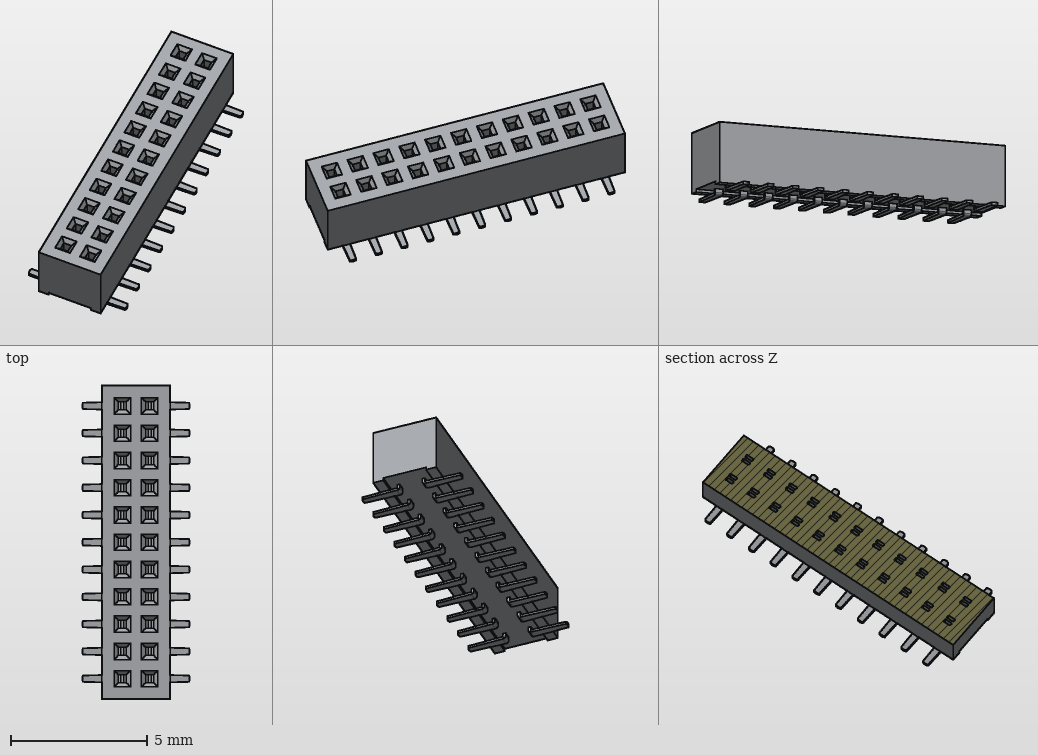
import cadquery as cq


ROW_COUNT = 11
PITCH = 1.0
COLUMN_X = PITCH / 2

LENGTH = 11.5
WIDTH = 2.51
TOP_Z = 2.4
RAIL_BOTTOM_Z = 0.14
RECESS_CEILING_Z = 0.24
RECESS_WIDTH = 1.7

MOUTH_SIZE = 0.6
BORE_SIZE = 0.3
FUNNEL_DEPTH = 0.15
BORE_FLOOR_Z = 0.69

LEAD_SPAN = 3.95
LEAD_THICKNESS = 0.1
LEAD_INNER_X = 0.45
BEND_OUTER_RADIUS = 0.12
LEAD_ROOT_WIDTH = 0.31
LEAD_TIP_WIDTH = 0.24
TIP_BULGE = 0.029
BLADE_TOP_Z = 1.72

LEAD_END_X = LEAD_SPAN / 2
ROW_Y = [(row - (ROW_COUNT - 1) / 2) * PITCH for row in range(ROW_COUNT)]
SOCKET_POINTS = [(side * COLUMN_X, y) for side in (-1, 1) for y in ROW_Y]


def make_housing():
    """Block with a recess along its underside, leaving a standoff rail on each side."""
    base = cq.Workplane("XY", origin=(0, 0, RAIL_BOTTOM_Z))
    block = base.rect(WIDTH, LENGTH).extrude(TOP_Z - RAIL_BOTTOM_Z)
    recess = base.rect(RECESS_WIDTH, LENGTH).extrude(RECESS_CEILING_Z - RAIL_BOTTOM_Z)
    return block.cut(recess)


def make_socket():
    """Cutter for one blind square bore with a pyramidal lead-in, centred on the Z axis."""
    funnel = (
        cq.Workplane("XY", origin=(0, 0, TOP_Z))
        .rect(MOUTH_SIZE, MOUTH_SIZE)
        .workplane(offset=-FUNNEL_DEPTH)
        .rect(BORE_SIZE, BORE_SIZE)
        .loft()
    )
    bore_top_z = TOP_Z - FUNNEL_DEPTH
    bore = (
        cq.Workplane("XY", origin=(0, 0, BORE_FLOOR_Z))
        .rect(BORE_SIZE, BORE_SIZE)
        .extrude(bore_top_z - BORE_FLOOR_Z)
    )
    return funnel.union(bore)


def make_lead():
    """L-shaped lead on the +X side at Y = 0: flat tapered foot, bend and upright blade."""
    blade_outer_x = LEAD_INNER_X + LEAD_THICKNESS
    side_profile = (
        cq.Workplane("XZ")
        .moveTo(LEAD_END_X, 0)
        .lineTo(LEAD_INNER_X + BEND_OUTER_RADIUS, 0)
        .radiusArc((LEAD_INNER_X, BEND_OUTER_RADIUS), BEND_OUTER_RADIUS)
        .lineTo(LEAD_INNER_X, BLADE_TOP_Z)
        .lineTo(blade_outer_x, BLADE_TOP_Z)
        .lineTo(blade_outer_x, LEAD_THICKNESS)
        .lineTo(LEAD_END_X, LEAD_THICKNESS)
        .close()
        .extrude(LEAD_ROOT_WIDTH / 2, both=True)
    )
    root_half = LEAD_ROOT_WIDTH / 2
    tip_half = LEAD_TIP_WIDTH / 2
    tip_corner_x = LEAD_END_X - TIP_BULGE
    plan_outline = (
        cq.Workplane("XY")
        .moveTo(LEAD_INNER_X, -root_half)
        .lineTo(blade_outer_x, -root_half)
        .lineTo(tip_corner_x, -tip_half)
        .threePointArc((LEAD_END_X, 0), (tip_corner_x, tip_half))
        .lineTo(blade_outer_x, root_half)
        .lineTo(LEAD_INNER_X, root_half)
        .close()
        .extrude(BLADE_TOP_Z)
    )
    return side_profile.intersect(plan_outline)


def place_sockets():
    """Socket cutters at every grid point of both columns."""
    socket = make_socket().val()
    return [socket.translate(cq.Vector(x, y, 0)) for x, y in SOCKET_POINTS]


def place_leads():
    """Leads for every row, mirrored to both sides of the housing."""
    right_lead = make_lead()
    left_lead = right_lead.mirror("YZ")
    return [
        lead.val().translate(cq.Vector(0, y, 0))
        for lead in (left_lead, right_lead)
        for y in ROW_Y
    ]


housing = make_housing().val().cut(*place_sockets())
result = cq.Workplane(housing.fuse(*place_leads()))